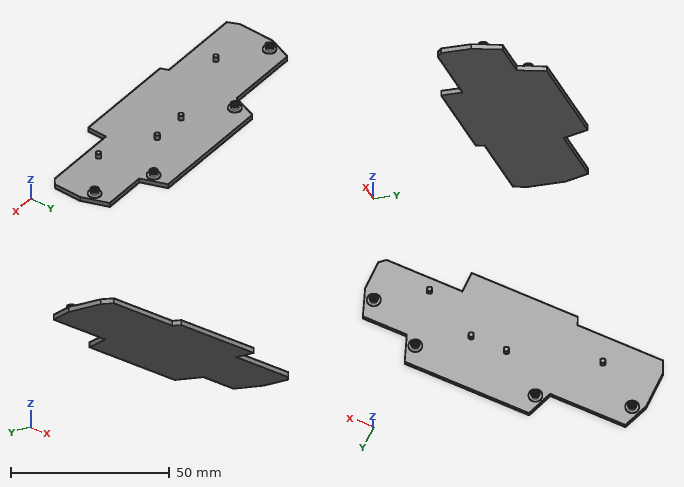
import cadquery as cq

plate_length = 98.0
plate_width = 37.0
plate_thickness = 1.7
total_height = 3.5

upper_shoulder_y = 28.1
lower_left_edge_y = 2.6
lower_right_edge_y = 7.1

stud_centers = [(3.9, 21.5), (33.4, 30.6), (75.2, 30.6), (93.8, 21.5)]
groove_diameter = 4.4
stem_diameter = 2.5
lip_diameter = 2.8
lip_height = 0.4
lip_bevel = 0.2
bore_diameter = 1.0
bore_mouth_diameter = 1.6

pin_centers = [(18.7, 11.5), (48.1, 20.5), (60.4, 20.5), (79.0, 11.5)]
pin_diameter = 1.8
pin_chamfer = 0.1


def make_plate():
    """Flat plate with a stepped outline and slanted corners."""
    outline = [
        (32.6, 0),
        (69.6, 0),
        (69.6, lower_right_edge_y),
        (95.9, lower_right_edge_y),
        (plate_length, 8.9),
        (plate_length, 18.9),
        (94.6, upper_shoulder_y),
        (79.3, upper_shoulder_y),
        (75.95, plate_width),
        (32.6, plate_width),
        (29.4, upper_shoulder_y),
        (3.2, upper_shoulder_y),
        (0, 19.5),
        (0, 6.5),
        (1.8, lower_left_edge_y),
        (31.6, lower_left_edge_y),
    ]
    return cq.Workplane("XY").polyline(outline).close().extrude(plate_thickness)


def make_groove():
    """Half-round ring groove between the stem and the groove's outer edge."""
    stem_radius = stem_diameter / 2
    groove_radius = (groove_diameter - stem_diameter) / 4
    return (
        cq.Workplane("XZ")
        .moveTo(stem_radius, plate_thickness)
        .threePointArc(
            (stem_radius + groove_radius, plate_thickness - groove_radius),
            (groove_diameter / 2, plate_thickness),
        )
        .close()
        .revolve(360, (0, 0, 0), (0, 1, 0))
    )


def make_stud():
    """Hollow rivet stud centred on the Z axis, standing on the plate."""
    stem_radius = stem_diameter / 2
    lip_radius = lip_diameter / 2
    lip_bottom_z = total_height - lip_height
    bore_radius = bore_diameter / 2
    mouth_radius = bore_mouth_diameter / 2
    mouth_depth = mouth_radius - bore_radius
    return (
        cq.Workplane("XZ")
        .moveTo(bore_radius, plate_thickness)
        .lineTo(stem_radius, plate_thickness)
        .lineTo(stem_radius, lip_bottom_z)
        .lineTo(lip_radius, lip_bottom_z)
        .lineTo(lip_radius, total_height - lip_bevel)
        .lineTo(lip_radius - lip_bevel, total_height)
        .lineTo(mouth_radius, total_height)
        .lineTo(bore_radius, total_height - mouth_depth)
        .close()
        .revolve(360, (0, 0, 0), (0, 1, 0))
    )


top_face = cq.Workplane("XY").workplane(offset=plate_thickness)
pins = (
    top_face.pushPoints(pin_centers).circle(pin_diameter / 2)
    .extrude(total_height - plate_thickness)
    .faces(">Z").chamfer(pin_chamfer)
)

result = make_plate().union(pins)
groove = make_groove()
stud = make_stud()
for x, y in stud_centers:
    result = result.cut(groove.translate((x, y, 0)))
    result = result.union(stud.translate((x, y, 0)))